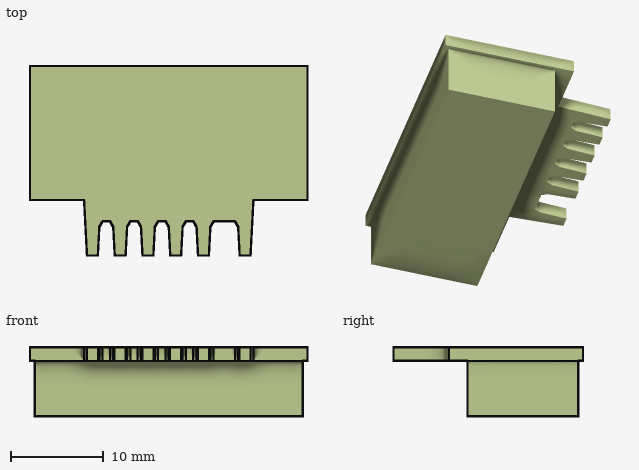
import cadquery as cq
import math

PLATE_WIDTH = 30.0
PLATE_DEPTH = 14.5
PLATE_THICKNESS = 1.5

BLOCK_INSET = 0.5
BLOCK_WIDTH = PLATE_WIDTH - 2 * BLOCK_INSET
BLOCK_DEPTH = 12.0
BLOCK_HEIGHT = 6.0

COMB_LENGTH = 6.0
PIN_PITCH = 3.0
PIN_TIP_WIDTH = 1.2
PIN_TAPER = math.tan(math.radians(3.0))
PIN_STEPS = (0, 1, 2, 3, 4, 5.5)
SLOT_DEPTH = 3.7
SLOT_CORNER_LENGTH = 0.6
SLOT_CORNER_WIDTH = SLOT_CORNER_LENGTH * math.tan(math.radians(30.0))

PIN_SPAN = PIN_STEPS[-1] * PIN_PITCH
PIN_CENTERS = [step * PIN_PITCH - PIN_SPAN / 2 for step in PIN_STEPS]
TIP_Y = -COMB_LENGTH


def make_plate():
    return cq.Workplane("XY").box(
        PLATE_WIDTH, PLATE_DEPTH, PLATE_THICKNESS, centered=(True, False, False)
    )


def make_block():
    front_y = PLATE_DEPTH - BLOCK_INSET - BLOCK_DEPTH
    return (
        cq.Workplane("XY")
        .box(BLOCK_WIDTH, BLOCK_DEPTH, BLOCK_HEIGHT, centered=(True, False, False))
        .translate((0, front_y, -BLOCK_HEIGHT))
    )


def make_comb_blank():
    """Trapezoid that narrows from the plate edge to the pin tips."""
    tip_half = (PIN_SPAN + PIN_TIP_WIDTH) / 2
    root_half = tip_half + COMB_LENGTH * PIN_TAPER
    return (
        cq.Workplane("XY")
        .polyline([(-root_half, 0), (-tip_half, TIP_Y), (tip_half, TIP_Y), (root_half, 0)])
        .close()
        .extrude(PLATE_THICKNESS)
    )


def make_slot(left_pin, right_pin):
    """Tapered slot with bevelled inner corners between two neighbouring pins."""
    center = (left_pin + right_pin) / 2
    straight_length = SLOT_DEPTH - SLOT_CORNER_LENGTH
    mouth_half = (right_pin - left_pin - PIN_TIP_WIDTH) / 2
    corner_half = mouth_half - straight_length * PIN_TAPER
    end_half = corner_half - SLOT_CORNER_WIDTH
    corner_y = TIP_Y + straight_length
    end_y = TIP_Y + SLOT_DEPTH
    return (
        cq.Workplane("XY")
        .polyline([
            (center - mouth_half, TIP_Y),
            (center - corner_half, corner_y),
            (center - end_half, end_y),
            (center + end_half, end_y),
            (center + corner_half, corner_y),
            (center + mouth_half, TIP_Y),
        ])
        .close()
        .extrude(PLATE_THICKNESS)
    )


comb = make_comb_blank()
for left_pin, right_pin in zip(PIN_CENTERS, PIN_CENTERS[1:]):
    comb = comb.cut(make_slot(left_pin, right_pin))

result = make_plate().union(make_block()).union(comb)